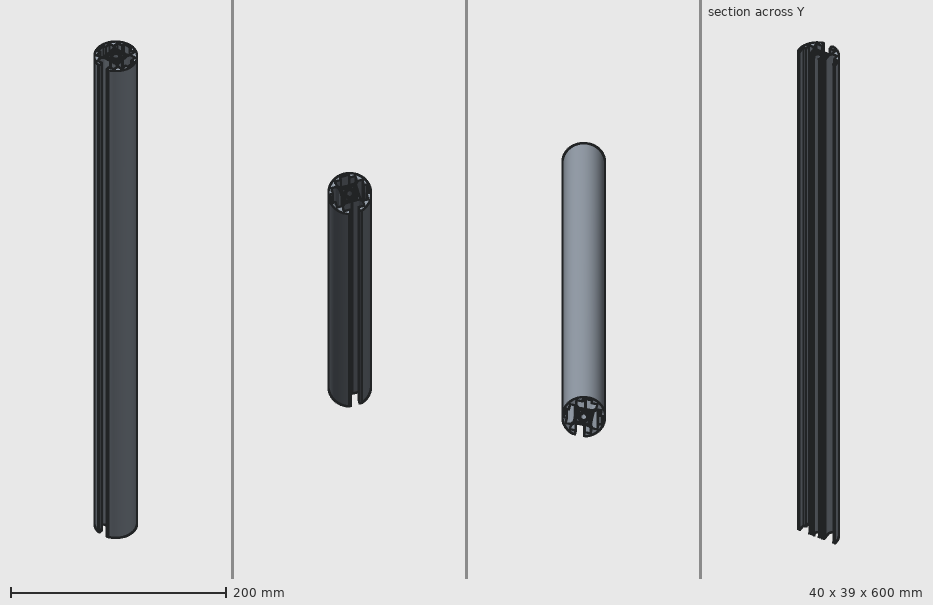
import cadquery as cq
import math

length = 600.0
outer_radius = 20.0
flat_distance = 19.0

mouth_half = 4.2
lip_inner = 15.0
cavity_half = 9.75
core_half = 8.0
closed_wall = 2.2
rib_thickness = 1.2
flank_radius = 0.8
floor_radius = 2.0

groove_half = 0.4
groove_depth = 0.4

bore_radius = 3.35
boss_wall = 1.4
core_wall = 2.0
web_thickness = 0.8

flank_offset = rib_thickness / math.sqrt(2)
floor_end = core_half - flank_offset
flank_end = cavity_half + flank_offset


def round_body():
    """Round bar with a flat on its -Y side."""
    bar = cq.Workplane("XY").circle(outer_radius).extrude(length)
    flat_side = cq.Workplane("XY").center(0, -flat_distance - outer_radius)
    return bar.cut(flat_side.rect(2 * outer_radius, 2 * outer_radius).extrude(length))


def slot(mouth_end):
    """T-slot on the -Y side, its mouth reaching out to mouth_end from the axis."""
    right_side = [
        (groove_half, -core_half),
        (floor_end, -core_half),
        (cavity_half, -flank_end),
        (cavity_half, -lip_inner),
        (mouth_half, -lip_inner),
        (mouth_half, -mouth_end),
    ]
    left_side = [(-x, y) for x, y in reversed(right_side)]
    groove_tip = (0, groove_depth - core_half)
    outline = right_side + left_side + [groove_tip]
    cavity = cq.Workplane("XY").polyline(outline).close().extrude(length)
    for side in (-1, 1):
        floor_corner = (side * floor_end, -core_half, length / 2)
        flank_corner = (side * cavity_half, -flank_end, length / 2)
        cavity = cavity.edges(cq.selectors.NearestToPointSelector(floor_corner)).fillet(floor_radius)
        cavity = cavity.edges(cq.selectors.NearestToPointSelector(flank_corner)).fillet(flank_radius)
    return cavity


def slotted_bar():
    """Round bar with one open slot and three closed ones."""
    bar = round_body().cut(slot(outer_radius))
    closed_slot = slot(outer_radius - closed_wall)
    for angle in (90, 180, 270):
        bar = bar.cut(closed_slot.rotate((0, 0, 0), (0, 0, 1), angle))
    return bar


def core_chambers():
    """Four corner chambers between the bore boss, the core wall and the webs."""
    near = web_thickness / 2
    far = core_half - core_wall
    side = far - near
    middle = (near + far) / 2
    corners = [(x, y) for x in (-middle, middle) for y in (-middle, middle)]
    chambers = cq.Workplane("XY").pushPoints(corners).rect(side, side).extrude(length)
    boss = cq.Workplane("XY").circle(bore_radius + boss_wall).extrude(length)
    return chambers.cut(boss)


bore = cq.Workplane("XY").circle(bore_radius).extrude(length)
result = slotted_bar().cut(core_chambers()).cut(bore)